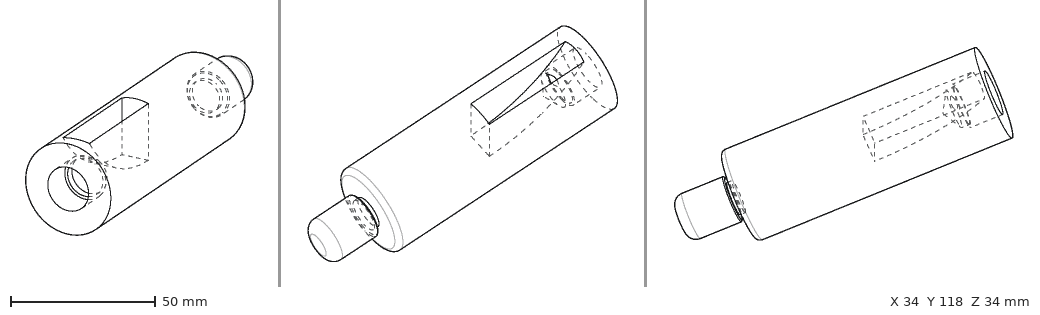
import cadquery as cq
import math

total_length = 118.0
body_diameter = 34.0
body_radius = body_diameter / 2
body_length = 96.0
body_fillet = 2.0

stud_radius = body_radius / 2
stud_tip_fillet = 4.0
stud_chamfer = 0.5
neck_radius = 6.0
neck_length = 2.0

bore_radius = 8.1
bore_depth = 12.0
pilot_radius = 7.02
pilot_depth = 15.0
drill_point_angle = 118.0

slot_width = 10.5
slot_near_y = 5.1
slot_far_y = 47.1
slot_floor_radius = 51.0


def cylinder(radius, start_y, length):
    """Cylinder about the Y axis, growing toward +Y."""
    return cq.Workplane("XZ", origin=(0, start_y, 0)).circle(radius).extrude(-length)


def make_body():
    return cylinder(body_radius, 0, body_length).faces(">Y").edges().fillet(body_fillet)


def make_stud():
    stud_start = body_length + neck_length
    neck = cylinder(neck_radius, body_length, neck_length)
    stud = cylinder(stud_radius, stud_start, total_length - stud_start)
    stud = stud.faces(">Y").edges().fillet(stud_tip_fillet)
    stud = stud.faces("<Y").edges().chamfer(stud_chamfer)
    return neck.union(stud)


def make_bore():
    point_length = pilot_radius / math.tan(math.radians(drill_point_angle / 2))
    return (
        cq.Workplane("XY")
        .moveTo(0, 0)
        .lineTo(bore_radius, 0)
        .lineTo(bore_radius, bore_depth)
        .lineTo(pilot_radius, bore_depth)
        .lineTo(pilot_radius, pilot_depth)
        .lineTo(0, pilot_depth + point_length)
        .close()
        .revolve(360, (0, 0, 0), (0, 1, 0))
    )


def make_slot():
    """Side outline: upright far wall, then an arc that leaves it level and climbs to the surface."""
    arc_angle = math.asin((slot_far_y - slot_near_y) / slot_floor_radius)
    arc_center_z = body_radius + slot_floor_radius * math.cos(arc_angle)
    floor_z = arc_center_z - slot_floor_radius
    arc_mid = (
        slot_far_y - slot_floor_radius * math.sin(arc_angle / 2),
        arc_center_z - slot_floor_radius * math.cos(arc_angle / 2),
    )
    return (
        cq.Workplane("YZ")
        .moveTo(slot_near_y, body_radius)
        .threePointArc(arc_mid, (slot_far_y, floor_z))
        .lineTo(slot_far_y, body_radius)
        .close()
        .extrude(slot_width / 2, both=True)
    )


result = make_body().union(make_stud()).cut(make_bore()).cut(make_slot())